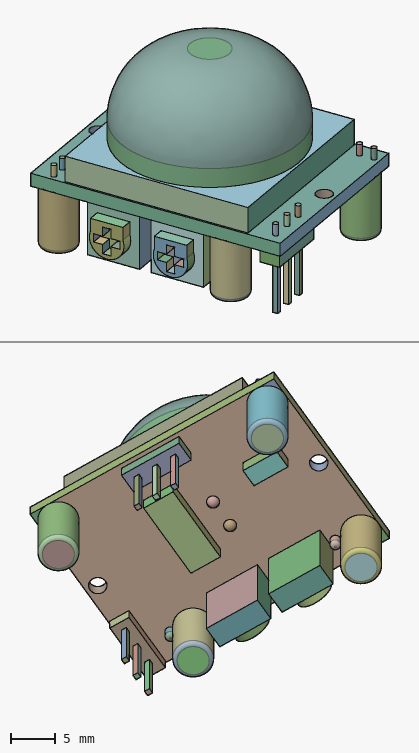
import cadquery as cq


board_length = 32.3
board_width = 24.15
board_thickness = 1.66
mount_hole_diameter = 2.05
mount_hole_x = 14.64
mount_hole_y = 0.31

lens_base_side = 23.65
lens_base_height = 3.25
lens_radius = 11.5
lens_rim_height = 2.4
lens_dome_radius = 9.0
lens_leg_diameter = 1.2
lens_leg_length = 1.58
lens_leg_tip_radius = 0.5
lens_leg_x = 10.93
lens_leg_y = -9.0

capacitor_diameter = 4.6
capacitor_length = 7.98
capacitor_edge_radius = 0.5
front_right_capacitor_x = 8.4

lead_height = 1.45
lead_diameter = 0.68
lead_spacing = 1.88
left_lead_x = -13.63
left_lead_y = 10.31
right_lead_x = 14.4
right_lead_y = 10.18

header_pins = 3
header_width = 2.54
header_height = 1.58
header_length = header_pins * header_width
header_pin_side = 0.66
header_pin_pitch = 2.42
header_pin_length = 8.31
header_lead_pitch = 2.5
side_header_x = 14.68
side_header_y = -8.06
side_header_pin_y = -7.93
back_header_x = 0.55
back_header_y = 10.28

trimmer_centers_x = (-6.75, 1.51)
trimmer_width = 6.77
trimmer_height = 8.17
trimmer_back_y = -7.0
trimmer_depth = 2.8
knob_radius = 2.23
knob_block_width = 4.2
knob_center_z = -4.82
knob_top_z = -2.44
knob_depth = 1.52
cross_length = 3.4
cross_arm_width = 1.05

chip_height = 1.83
main_chip_length = 9.86
main_chip_width = 3.9
main_chip_x = 2.5
main_chip_y = 1.85
regulator_length = 4.5
regulator_width = 2.29
regulator_x = -9.75
regulator_y = 3.73
solder_radius = 0.73
solder_x = -2.0
solder_centers_y = (2.46, -1.1)

board_top = board_thickness


def hanging_block(x, y, length, width, height):
    """Block centred on (x, y) that hangs from the underside of the board."""
    return cq.Workplane("XY").center(x, y).rect(length, width).extrude(-height)


def make_board():
    board = cq.Workplane("XY").rect(board_length, board_width).extrude(board_thickness)
    holes = (
        cq.Workplane("XY")
        .pushPoints([(-mount_hole_x, mount_hole_y), (mount_hole_x, mount_hole_y)])
        .circle(mount_hole_diameter / 2)
        .extrude(board_thickness)
    )
    return board.cut(holes)


def make_lens():
    base = (
        cq.Workplane("XY", origin=(0, 0, board_top))
        .rect(lens_base_side, lens_base_side)
        .extrude(lens_base_height)
    )
    dome = (
        cq.Workplane("XY", origin=(0, 0, board_top + lens_base_height))
        .circle(lens_radius)
        .extrude(lens_rim_height + lens_dome_radius)
        .faces(">Z")
        .edges()
        .fillet(lens_dome_radius)
    )
    legs = (
        cq.Workplane("XY")
        .pushPoints([(-lens_leg_x, lens_leg_y), (lens_leg_x, lens_leg_y)])
        .circle(lens_leg_diameter / 2)
        .extrude(-lens_leg_length)
        .faces("<Z")
        .edges()
        .fillet(lens_leg_tip_radius)
    )
    return base.union(dome).union(legs)


def make_capacitors():
    """Four capacitors below the board, tangent to its front and back edges."""
    edge_x = (board_length - capacitor_diameter) / 2
    edge_y = (board_width - capacitor_diameter) / 2
    centers = [
        (-edge_x, -edge_y),
        (-edge_x, edge_y),
        (edge_x, edge_y),
        (front_right_capacitor_x, -edge_y),
    ]
    return (
        cq.Workplane("XY")
        .pushPoints(centers)
        .circle(capacitor_diameter / 2)
        .extrude(-capacitor_length)
        .faces("<Z")
        .edges()
        .fillet(capacitor_edge_radius)
    )


def make_leads():
    """Round lead ends of the capacitors and of the side header."""
    half_spacing = lead_spacing / 2
    centers = []
    for side in (-1, 1):
        centers.append((left_lead_x, left_lead_y + side * half_spacing))
        centers.append((left_lead_x, -left_lead_y + side * half_spacing))
        centers.append((right_lead_x + side * half_spacing, right_lead_y))
    for index in range(header_pins):
        offset = (index - (header_pins - 1) / 2) * header_lead_pitch
        centers.append((side_header_x, side_header_y + offset))
    return (
        cq.Workplane("XY", origin=(0, 0, board_top))
        .pushPoints(centers)
        .circle(lead_diameter / 2)
        .extrude(lead_height)
    )


def make_headers():
    side_header = hanging_block(
        side_header_x, side_header_y, header_width, header_length, header_height
    )
    back_header = hanging_block(
        back_header_x, back_header_y, header_length, header_width, header_height
    )
    headers = side_header.union(back_header)
    for index in range(header_pins):
        offset = (index - (header_pins - 1) / 2) * header_pin_pitch
        for x, y in (
            (side_header_x, side_header_pin_y + offset),
            (back_header_x + offset, back_header_y),
        ):
            pin = hanging_block(x, y, header_pin_side, header_pin_side, header_pin_length)
            headers = headers.union(pin)
    return headers


def make_trimmer(x):
    """Trimmer body with a forward-facing knob cut through by a cross-shaped slot."""
    body = hanging_block(
        x, trimmer_back_y - trimmer_depth / 2, trimmer_width, trimmer_depth, trimmer_height
    )
    front_y = trimmer_back_y - trimmer_depth
    knob_face = cq.Workplane("XZ", origin=(x, front_y, knob_center_z))
    block_height = knob_top_z - knob_center_z
    knob = knob_face.circle(knob_radius).extrude(knob_depth)
    block = (
        knob_face.center(0, block_height / 2)
        .rect(knob_block_width, block_height)
        .extrude(knob_depth)
    )
    wide_arm = knob_face.rect(cross_length, cross_arm_width).extrude(knob_depth)
    tall_arm = knob_face.rect(cross_arm_width, cross_length).extrude(knob_depth)
    return body.union(knob).union(block).cut(wide_arm).cut(tall_arm)


def make_chips():
    main_chip = hanging_block(
        main_chip_x, main_chip_y, main_chip_width, main_chip_length, chip_height
    )
    regulator = hanging_block(
        regulator_x, regulator_y, regulator_length, regulator_width, chip_height
    )
    return main_chip.union(regulator)


def make_solder_joints():
    """Solder balls whose upper halves are buried in the board."""
    return (
        cq.Workplane("XY")
        .pushPoints([(solder_x, y) for y in solder_centers_y])
        .sphere(solder_radius)
    )


result = make_board()
for component in (
    make_lens(),
    make_capacitors(),
    make_leads(),
    make_headers(),
    make_chips(),
    make_solder_joints(),
):
    result = result.union(component)
for trimmer_x in trimmer_centers_x:
    result = result.union(make_trimmer(trimmer_x))